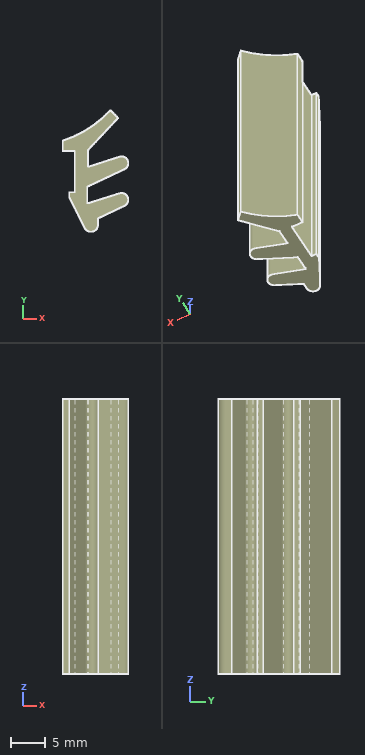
import cadquery as cq
import math

LENGTH = 40.0
WIDTH = 9.55
HEIGHT = 17.7

WEB_LEFT = 1.75
WEB_RIGHT_UPPER = 3.7
WEB_RIGHT_LOWER = 3.6

LIP_BOTTOM = 11.75
LIP_EDGE_HEIGHT = 1.5
LIP_MIDDLE = (3.9, 15.1)
LIP_TIP_TOP = (6.95, HEIGHT)
LIP_TIP_SIDE = (8.1, 16.55)
LIP_ROOT_Y = 11.9

FINGER_RADIUS = 1.0
FINGER_PITCH = 5.3
LOWER_FINGER_CENTER = (WIDTH - FINGER_RADIUS, 4.7)
UPPER_FINGER_CENTER = (LOWER_FINGER_CENTER[0], LOWER_FINGER_CENTER[1] + FINGER_PITCH)
LOWER_FINGER_TOP_Y = 4.15
LOWER_FINGER_BOTTOM_Y = 1.95
UPPER_FINGER_TOP_Y = LOWER_FINGER_TOP_Y + FINGER_PITCH
UPPER_FINGER_BOTTOM_Y = 6.55

FOOT_RADIUS = 1.05
FOOT_RIGHT = 5.15
FOOT_CENTER = (FOOT_RIGHT - FOOT_RADIUS, FOOT_RADIUS)
STEP_LEFT = 0.95
STEP_TOP = 5.8
STEP_BOTTOM = 5.05


def tangent_point(start, center, radius, side):
    """Point where a line from start touches a circle; side +1 is left of the line to its center."""
    dx = start[0] - center[0]
    dy = start[1] - center[1]
    angle = math.atan2(dy, dx) - side * math.acos(radius / math.hypot(dx, dy))
    return (center[0] + radius * math.cos(angle), center[1] + radius * math.sin(angle))


def add_finger(outline, top_root, bottom_root, center):
    """Continue the outline from the upper root, around the rounded end, to the lower root."""
    arc_start = tangent_point(top_root, center, FINGER_RADIUS, 1)
    arc_end = tangent_point(bottom_root, center, FINGER_RADIUS, -1)
    arc_middle = (center[0] + FINGER_RADIUS, center[1])
    return (
        outline.lineTo(*top_root)
        .lineTo(*arc_start)
        .threePointArc(arc_middle, arc_end)
        .lineTo(*bottom_root)
    )


profile = (
    cq.Workplane("XY")
    .moveTo(0, LIP_BOTTOM)
    .lineTo(0, LIP_BOTTOM + LIP_EDGE_HEIGHT)
    .threePointArc(LIP_MIDDLE, LIP_TIP_TOP)
    .lineTo(*LIP_TIP_SIDE)
    .lineTo(WEB_RIGHT_UPPER, LIP_ROOT_Y)
)

profile = add_finger(
    profile,
    (WEB_RIGHT_UPPER, UPPER_FINGER_TOP_Y),
    (WEB_RIGHT_LOWER, UPPER_FINGER_BOTTOM_Y),
    UPPER_FINGER_CENTER,
)
profile = add_finger(
    profile,
    (WEB_RIGHT_LOWER, LOWER_FINGER_TOP_Y),
    (FOOT_RIGHT, LOWER_FINGER_BOTTOM_Y),
    LOWER_FINGER_CENTER,
)

step_corner = (STEP_LEFT, STEP_BOTTOM)
foot_arc_end = tangent_point(step_corner, FOOT_CENTER, FOOT_RADIUS, -1)
profile = (
    profile.lineTo(FOOT_RIGHT, FOOT_CENTER[1])
    .threePointArc((FOOT_CENTER[0], 0), foot_arc_end)
    .lineTo(*step_corner)
    .lineTo(STEP_LEFT, STEP_TOP)
    .lineTo(WEB_LEFT, STEP_TOP)
    .lineTo(WEB_LEFT, LIP_BOTTOM)
    .close()
)

result = profile.extrude(LENGTH)